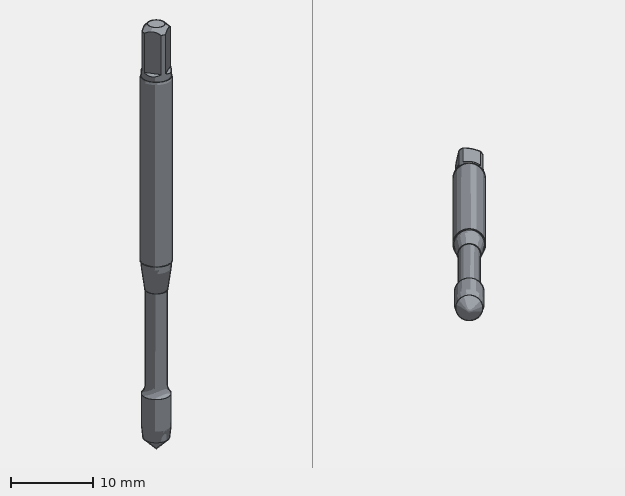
import cadquery as cq

TOTAL_LENGTH = 57.6
POINT_TOP = 1.6
LEAD_TOP = 3.15
HEAD_TOP = 7.55
NECK_BOTTOM = 8.75
NECK_TOP = 21.65
TAPER_TOP = 24.55
BAND_TOP = 25.05
SHANK_BOTTOM = 25.55
COLLAR_BOTTOM = 50.55
FLAT_BOTTOM = 51.55

SHANK_DIAMETER = 4.0
SHANK_END_DIAMETER = 3.8
COLLAR_DIAMETER = 3.7
BAND_DIAMETER = 3.7
TAPER_TOP_DIAMETER = 3.6
TAPER_END_DIAMETER = 2.8
NECK_DIAMETER = 2.7
HEAD_DIAMETER = 3.6
POINT_DIAMETER = 3.3
DRIVE_TOP_DIAMETER = 2.15

SHANK_CHAMFER_HEIGHT = 0.35
DRIVE_CHAMFER_HEIGHT = 0.75
SQUARE_WIDTH = 3.0
FLAT_RUNOUT_DROP = 0.3


def revolve_profile(stations):
    """Revolve (diameter, height) stations about the Z axis, closing the outline along the axis."""
    outline = [(diameter / 2, height) for diameter, height in stations]
    bottom = outline[0][1]
    top = outline[-1][1]
    return (
        cq.Workplane("XZ")
        .polyline([(0, bottom), *[p for p in outline if p[0] > 0], (0, top)])
        .close()
        .revolve(360, (0, 0, 0), (0, 1, 0))
    )


def make_flat_cutter():
    """Material removed outside the +X flat, with a floor that slopes down and outwards."""
    flat = SQUARE_WIDTH / 2
    rim = COLLAR_DIAMETER / 2
    reach = 2 * (rim - flat)
    return (
        cq.Workplane("XZ")
        .polyline([
            (flat, FLAT_BOTTOM),
            (flat + reach, FLAT_BOTTOM - 2 * FLAT_RUNOUT_DROP),
            (flat + reach, TOTAL_LENGTH),
            (flat, TOTAL_LENGTH),
        ])
        .close()
        .extrude(SHANK_DIAMETER / 2, both=True)
    )


def make_neck_flare():
    """Concave flare, tangent to the neck, that widens it to the head diameter."""
    neck_radius = NECK_DIAMETER / 2
    head_radius = HEAD_DIAMETER / 2
    spread = head_radius - neck_radius
    height = NECK_BOTTOM - HEAD_TOP
    flare_radius = (spread**2 + height**2) / (2 * spread)
    return (
        cq.Workplane("XZ")
        .moveTo(0, NECK_BOTTOM)
        .lineTo(neck_radius, NECK_BOTTOM)
        .radiusArc((head_radius, HEAD_TOP), -flare_radius)
        .lineTo(0, HEAD_TOP)
        .close()
        .revolve(360, (0, 0, 0), (0, 1, 0))
    )


def make_shank():
    """Shank with its neck, tapered shoulder and square drive end."""
    shank = revolve_profile([
        (NECK_DIAMETER, NECK_BOTTOM),
        (NECK_DIAMETER, NECK_TOP),
        (TAPER_END_DIAMETER, NECK_TOP),
        (TAPER_TOP_DIAMETER, TAPER_TOP),
        (BAND_DIAMETER, BAND_TOP),
        (BAND_DIAMETER, SHANK_BOTTOM),
        (SHANK_DIAMETER, SHANK_BOTTOM),
        (SHANK_DIAMETER, COLLAR_BOTTOM - SHANK_CHAMFER_HEIGHT),
        (SHANK_END_DIAMETER, COLLAR_BOTTOM),
        (COLLAR_DIAMETER, COLLAR_BOTTOM),
        (COLLAR_DIAMETER, TOTAL_LENGTH - DRIVE_CHAMFER_HEIGHT),
        (DRIVE_TOP_DIAMETER, TOTAL_LENGTH),
    ])
    flat_cutter = make_flat_cutter()
    for angle in (0, 90, 180, 270):
        shank = shank.cut(flat_cutter.rotate((0, 0, 0), (0, 0, 1), angle))
    return shank.union(make_neck_flare())


def make_head():
    """Working head with a tapered lead and a conical point."""
    return revolve_profile([
        (0, 0),
        (POINT_DIAMETER, POINT_TOP),
        (HEAD_DIAMETER, LEAD_TOP),
        (HEAD_DIAMETER, HEAD_TOP),
    ])


shank = make_shank()
head = make_head()

result = cq.Compound.makeCompound([shank.val(), head.val()])